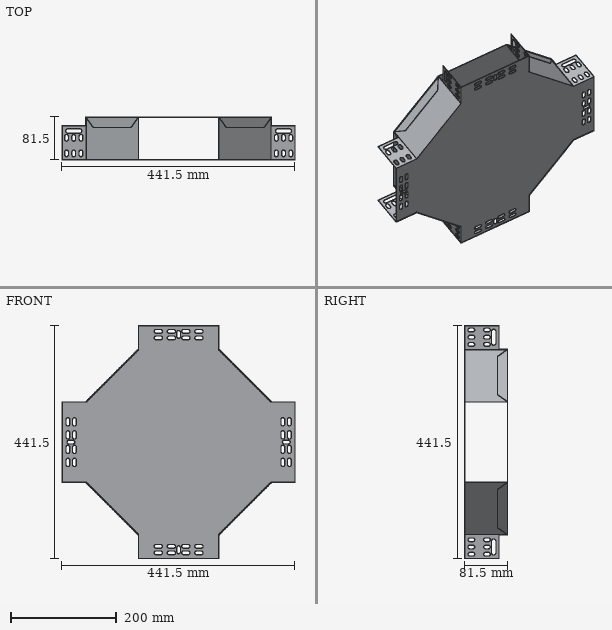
import cadquery as cq
import math


SPAN = 441.5
DEPTH = 81.5
SHEET = 0.8
ARM_HALF_WIDTH = 76.5
ARM_LENGTH = 44.5
WING_HEIGHT = 65.5

SLOT_WIDTH = 6.5
FLOOR_SLOT_LENGTH = 15.5
FLOOR_SLOT_OFFSETS = (13.5, 38.5)
FLOOR_ROW_SETBACKS = (11.0, 23.5)
CENTRE_SLOT_LENGTH = 14.5
CENTRE_SLOT_SETBACK = 16.8
WING_SLOT_LENGTH = 12.5
WING_SLOT_PITCH = 13.5
WING_SLOT_SETBACK = 22.0
WING_ROW_HEIGHTS = (13.0, 42.5)
LONG_SLOT_LENGTH = 30.0
LONG_SLOT_WIDTH = 8.0
LONG_SLOT_HEIGHT = 55.0

LIP_DEPTH = 19.0
LIP_END_GAP = 1.0

HALF_SPAN = SPAN / 2
BODY_HALF = HALF_SPAN - ARM_LENGTH
BEND = BODY_HALF - SHEET * math.sqrt(2)
LIP_REACH = (ARM_HALF_WIDTH + BODY_HALF) / math.sqrt(2)
COVER_DIAGONAL = (BODY_HALF - ARM_HALF_WIDTH) * math.sqrt(2)
WALL_TOP = DEPTH - SHEET
CUT_MARGIN = 4.5
QUARTER_TURNS = (0, 90, 180, 270)
DIAGONALS = (45, 135, 225, 315)


def turn(shape, angle):
    """Turn a shape about the Y axis through the centre of the crossing."""
    return shape.rotate((0, 0, 0), (0, 1, 0), angle)


def extrude_up(points, bottom, top):
    """Extrude an outline of (x, z) points from Y = bottom to Y = top."""
    plane = cq.Plane(origin=(0, bottom, 0), xDir=(1, 0, 0), normal=(0, 1, 0))
    return cq.Workplane(plane).polyline(points).close().extrude(top - bottom)


def repeat_four_ways(points):
    """Repeat a run of outline points at each quarter turn."""
    outline = []
    for _ in QUARTER_TURNS:
        outline += points
        points = [(-v, u) for u, v in points]
    return outline


def cross_outline(inset, tip):
    """Outline of the tray, with the arm sides and diagonals moved in by inset."""
    half_width = ARM_HALF_WIDTH - inset
    bend = BEND + inset - inset * math.sqrt(2)
    return repeat_four_ways([(tip, -half_width), (tip, half_width), (bend, half_width), (half_width, bend)])


def wing_trim():
    """Cutter that lowers both wings of the +X arm to their height."""
    length = ARM_LENGTH + CUT_MARGIN
    height = WALL_TOP - WING_HEIGHT + CUT_MARGIN
    width = 2 * (ARM_HALF_WIDTH + CUT_MARGIN)
    block = cq.Workplane("XY").box(length, height, width, centered=(False, False, True))
    return block.translate((BODY_HALF, WING_HEIGHT, 0))


def floor_slots():
    """Cutters for the slots through the floor at the tip of the +X arm."""
    offsets = [side * offset for side in (-1, 1) for offset in FLOOR_SLOT_OFFSETS]
    places = [(HALF_SPAN - setback, offset) for setback in FLOOR_ROW_SETBACKS for offset in offsets]
    sketch = cq.Workplane("XZ", origin=(0, -CUT_MARGIN, 0))
    depth = -(SHEET + 2 * CUT_MARGIN)
    across = sketch.pushPoints(places).slot2D(FLOOR_SLOT_LENGTH, SLOT_WIDTH, 90).extrude(depth)
    along = sketch.center(HALF_SPAN - CENTRE_SLOT_SETBACK, 0)
    along = along.slot2D(CENTRE_SLOT_LENGTH, SLOT_WIDTH).extrude(depth)
    return across.add(along).combine()


def wing_slots():
    """Cutters for the slots through both wings of the +X arm."""
    middle = HALF_SPAN - WING_SLOT_SETBACK
    places = [(middle + step * WING_SLOT_PITCH, height) for step in (-1, 0, 1) for height in WING_ROW_HEIGHTS]
    sketch = cq.Workplane("XY")
    depth = ARM_HALF_WIDTH + CUT_MARGIN
    short = sketch.pushPoints(places).slot2D(WING_SLOT_LENGTH, SLOT_WIDTH, 90).extrude(depth, both=True)
    long = sketch.center(middle, LONG_SLOT_HEIGHT)
    long = long.slot2D(LONG_SLOT_LENGTH, LONG_SLOT_WIDTH).extrude(depth, both=True)
    return short.add(long).combine()


def make_tray():
    """Floor, wings and diagonal walls folded from one sheet."""
    tray = extrude_up(cross_outline(0, HALF_SPAN), 0, WALL_TOP)
    channel = extrude_up(cross_outline(SHEET, HALF_SPAN + CUT_MARGIN), SHEET, WALL_TOP + CUT_MARGIN)
    tray = tray.cut(channel)
    for angle in QUARTER_TURNS:
        tray = tray.cut(turn(wing_trim(), angle))
        tray = tray.cut(turn(floor_slots(), angle))
        tray = tray.cut(turn(wing_slots(), angle))
    return tray


def cover_lip():
    """Lip across the +X side with its ends cut at 45 degrees, to be turned onto a diagonal."""
    root = COVER_DIAGONAL / 2 - LIP_END_GAP
    edge = root - LIP_DEPTH
    bottom = WALL_TOP - LIP_DEPTH
    lip = cq.Workplane("ZY", origin=(LIP_REACH, 0, 0))
    lip = lip.polyline([(-root, DEPTH), (root, DEPTH), (root, WALL_TOP), (edge, bottom), (-edge, bottom),
                        (-root, WALL_TOP)])
    return lip.close().extrude(SHEET)


def make_cover():
    """Octagonal plate resting on the diagonal walls, with a lip folded down outside each of them."""
    corners = repeat_four_ways([(BODY_HALF, ARM_HALF_WIDTH), (ARM_HALF_WIDTH, BODY_HALF)])
    cover = extrude_up(corners, WALL_TOP, DEPTH)
    for angle in DIAGONALS:
        cover = cover.union(turn(cover_lip(), angle))
    return cover


tray = make_tray()
cover = make_cover()
result = cq.Compound.makeCompound([tray.val(), cover.val()])